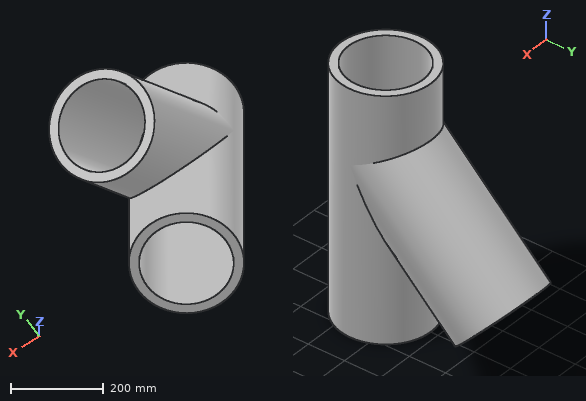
import cadquery as cq

run_length = 660.5
outer_diameter = 249.5
bore_diameter = 205.0
branch_length = 457.5
branch_angle = 45.0

junction_height = branch_length


def run_cylinder(diameter):
    """Upright cylinder along the run axis, standing on Z = 0."""
    return cq.Workplane("XY").circle(diameter / 2).extrude(run_length)


def branch_cylinder(diameter):
    """Cylinder from the junction, sloping down toward +Y."""
    return (
        cq.Workplane("XY")
        .circle(diameter / 2)
        .extrude(-branch_length)
        .rotate((0, 0, 0), (1, 0, 0), branch_angle)
        .translate((0, 0, junction_height))
    )


body = run_cylinder(outer_diameter).union(branch_cylinder(outer_diameter))
result = body.cut(run_cylinder(bore_diameter)).cut(branch_cylinder(bore_diameter))